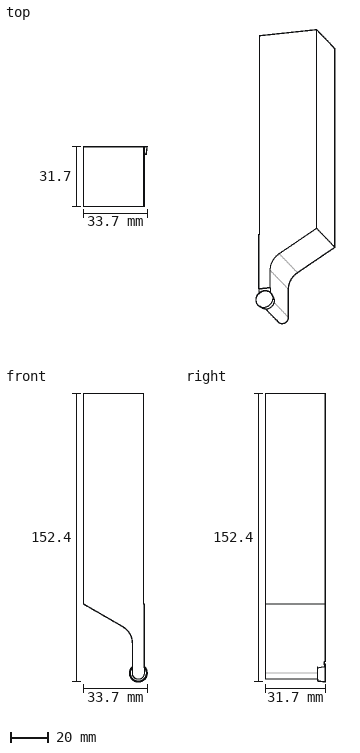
import cadquery as cq
import math

overall_height = 152.4
shank_side = 31.7
shoulder_height = 41.1
shoulder_slope = math.radians(30)
blade_width = 6.4
blade_fillet = 10.0

overall_width = 33.7
insert_rim_radius = 4.7
insert_thickness = 4.1
insert_relief = math.radians(7)
insert_small_radius = insert_rim_radius - insert_thickness * math.tan(insert_relief)
insert_x = overall_width - insert_rim_radius
insert_z = insert_rim_radius

clearance_depth = 0.6
clearance_height = 10.8

blade_left = insert_x - blade_width / 2
blade_right = insert_x + blade_width / 2
blade_tip = insert_z - blade_width / 2


def make_insert():
    """Truncated cone widening toward the +Y face, with its axis along Y."""
    return cq.Workplane(
        cq.Solid.makeCone(
            insert_small_radius,
            insert_rim_radius,
            insert_thickness,
            pnt=cq.Vector(insert_x, shank_side - insert_thickness, insert_z),
            dir=cq.Vector(0, 1, 0),
        )
    )


def make_holder_blank():
    """Shank, sloping shoulder and round-ended blade as one extruded outline."""
    corner_z = shoulder_height - blade_left * math.tan(shoulder_slope)
    outline = (
        cq.Workplane("XZ")
        .moveTo(0, overall_height)
        .lineTo(shank_side, overall_height)
        .lineTo(shank_side, shoulder_height)
        .lineTo(blade_right, shoulder_height)
        .lineTo(blade_right, insert_z)
        .threePointArc((insert_x, blade_tip), (blade_left, insert_z))
        .lineTo(blade_left, corner_z)
        .lineTo(0, shoulder_height)
        .close()
    )
    blank = outline.extrude(-shank_side)
    inner_corner = cq.NearestToPointSelector((blade_left, shank_side / 2, corner_z))
    return blank.edges("|Y").edges(inner_corner).fillet(blade_fillet)


def make_clearance():
    """Step across the lower end of the blade on its +Y face."""
    return cq.Workplane("XY").box(
        blade_width, clearance_depth, clearance_height, centered=False
    ).translate((blade_left, shank_side - clearance_depth, 0))


insert = make_insert()
holder = make_holder_blank().cut(make_clearance()).cut(insert)

result = cq.Compound.makeCompound([holder.solids().val(), insert.val()])